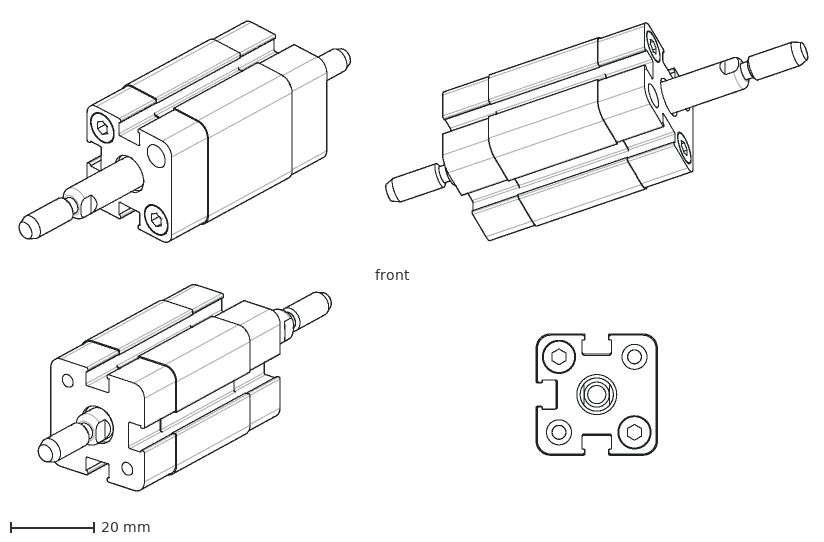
import cadquery as cq
import math


total_length = 109.0
tube_width = 29.1
step = 0.3
corner_radius = 3.5
body_front = -19.0
body_back = 34.1
cap_length = 12.2

slot_width = 7.0
slot_depth = 4.8
mouth_width = 5.6
lip_thickness = 1.5
lip_radius = 0.4
floor_radius = 0.4
cut_margin = 1.1

hole_offset = 9.0
through_diameter = 3.3
bore_diameter = 6.0
screw_pocket_diameter = 8.0
screw_head_diameter = 7.5
screw_head_height = 4.0
socket_width = 3.3
socket_depth = 2.7

rod_diameter = 8.0
rod_end = 38.7
rod_end_rounding = 1.4
neck_diameter = 4.1
neck_length = 1.9
thread_diameter = 6.0
thread_root_diameter = 4.4
thread_lead_in = 0.7
tip_length = 2.1
flat_width = 6.0
flat_length = 3.6
seal_diameter = 9.6
seal_depth = 1.1

body_length = body_back - body_front
tube_length = body_length - 2 * cap_length
diagonal = math.sqrt(0.5)


def cylinder(x, z, y_start, length, diameter):
    """Cylinder along +Y that starts at y_start."""
    axis_plane = cq.Plane(origin=(x, y_start, z), xDir=(1, 0, 0), normal=(0, 1, 0))
    return cq.Workplane(axis_plane).circle(diameter / 2).extrude(length)


def slot_cutter(inset, y_start, length):
    """Slot open toward +Z whose mouth is narrowed by two lips with rounded corners."""
    surface = tube_width / 2 - inset
    floor = tube_width / 2 - slot_depth - inset
    wall = slot_width / 2
    mouth = mouth_width / 2 + inset / 2
    lip_bottom = tube_width / 2 - lip_thickness
    lip_start = mouth + lip_radius
    floor_bend = floor_radius * (1 - diagonal)
    lip_bend = lip_radius * (1 - diagonal)
    plane = cq.Plane(origin=(0, y_start + length, 0), xDir=(1, 0, 0), normal=(0, -1, 0))
    half = (
        cq.Workplane(plane)
        .moveTo(0, floor)
        .lineTo(wall - floor_radius, floor)
        .threePointArc((wall - floor_bend, floor + floor_bend), (wall, floor + floor_radius))
        .lineTo(wall, lip_bottom)
        .lineTo(lip_start, lip_bottom)
        .threePointArc((mouth + lip_bend, lip_bottom + lip_bend), (mouth, lip_bottom + lip_radius))
        .lineTo(mouth, surface - lip_radius)
        .threePointArc((mouth + lip_bend, surface - lip_bend), (lip_start, surface))
        .lineTo(lip_start, surface + cut_margin)
        .lineTo(0, surface + cut_margin)
        .close()
        .extrude(length)
    )
    return half.union(half.mirror("YZ"))


def body_section(y_start, length, inset):
    """Rounded square block with slots on the +Z, -Z and -X sides."""
    width = tube_width - 2 * inset
    block = (
        cq.Workplane("XY")
        .box(width, length, width)
        .edges("|Y")
        .fillet(corner_radius - inset)
        .translate((0, y_start + length / 2, 0))
    )
    slot = slot_cutter(inset, y_start, length)
    for angle in (0, 180, -90):
        block = block.cut(slot.rotate((0, 0, 0), (0, 1, 0), angle))
    return block


def make_body():
    tube_start = body_front + cap_length
    body = body_section(tube_start, tube_length, 0)
    for y_start in (body_front, body_back - cap_length):
        body = body.union(body_section(y_start, cap_length, step))
    return body


def cut_through_holes(body):
    """Two diagonal holes through the body, widened in the front cap."""
    for side in (-1, 1):
        x = z = side * hole_offset
        body = body.cut(cylinder(x, z, body_front, body_length, through_diameter))
        body = body.cut(cylinder(x, z, body_front, cap_length, bore_diameter))
    return body


def add_screws(body):
    """Two sunk socket head screws on the other diagonal of the front face."""
    socket_circle = socket_width / math.cos(math.pi / 6)
    for side in (-1, 1):
        x = side * hole_offset
        z = -x
        pocket = cylinder(x, z, body_front, screw_head_height, screw_pocket_diameter)
        head = cylinder(x, z, body_front, screw_head_height, screw_head_diameter)
        plane = cq.Plane(origin=(x, body_front, z), xDir=(0, 0, 1), normal=(0, 1, 0))
        socket = cq.Workplane(plane).polygon(6, socket_circle).extrude(socket_depth)
        body = body.cut(pocket.cut(head)).cut(socket)
    return body


def cut_seal_recesses(body):
    """Shallow round recess around the rod in each end face."""
    for y_start in (body_front, body_back - seal_depth):
        body = body.cut(cylinder(0, 0, y_start, seal_depth, seal_diameter))
    return body


def make_rod():
    """Rod half as a turned profile with two wrench flats, mirrored to both ends."""
    half_length = total_length / 2
    rod_radius = rod_diameter / 2
    neck_end = rod_end + neck_length
    rounding_bend = rod_end_rounding * (1 - diagonal)
    rounding_mid = (rod_radius - rounding_bend, rod_end - rounding_bend)
    end_profile = [
        (neck_diameter / 2, rod_end),
        (neck_diameter / 2, neck_end),
        (thread_root_diameter / 2, neck_end),
        (thread_diameter / 2, neck_end + thread_lead_in),
        (thread_diameter / 2, half_length - tip_length),
        (thread_root_diameter / 2, half_length),
        (0, half_length),
    ]
    half = (
        cq.Workplane("XY")
        .lineTo(rod_radius, 0)
        .lineTo(rod_radius, rod_end - rod_end_rounding)
        .threePointArc(rounding_mid, (rod_radius - rod_end_rounding, rod_end))
        .polyline(end_profile, includeCurrent=True)
        .close()
        .revolve(360, (0, 0), (0, 1))
    )

    flat = flat_width / 2
    flat_start = rod_end - flat_length
    flat_cutter = (
        cq.Workplane("XY")
        .polyline([
            (flat, rod_end),
            (flat, flat_start),
            (flat + rod_radius, flat_start - rod_radius),
            (flat + rod_radius, rod_end),
        ])
        .close()
        .extrude(rod_radius, both=True)
    )
    half = half.cut(flat_cutter).cut(flat_cutter.mirror("YZ"))
    return half.union(half.mirror("XZ"))


body = cut_seal_recesses(add_screws(cut_through_holes(make_body())))
result = body.union(make_rod())